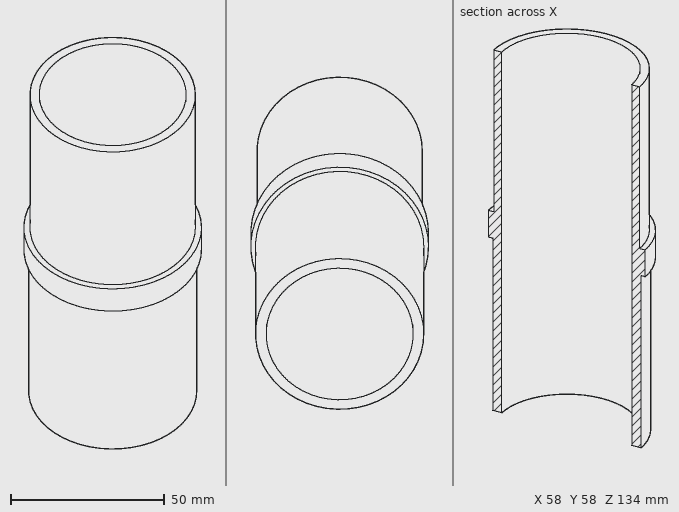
import cadquery as cq

total_height = 134.0
lower_height = 63.9
collar_height = 10.0
upper_height = total_height - lower_height - collar_height

lower_diameter = 55.0
collar_diameter = 58.0
upper_diameter = 54.0
bore_diameter = 48.0

body = (
    cq.Workplane("XY")
    .circle(lower_diameter / 2)
    .extrude(lower_height)
    .faces(">Z")
    .workplane()
    .circle(collar_diameter / 2)
    .extrude(collar_height)
    .faces(">Z")
    .workplane()
    .circle(upper_diameter / 2)
    .extrude(upper_height)
)

bore = cq.Workplane("XY").circle(bore_diameter / 2).extrude(total_height)

result = body.cut(bore)